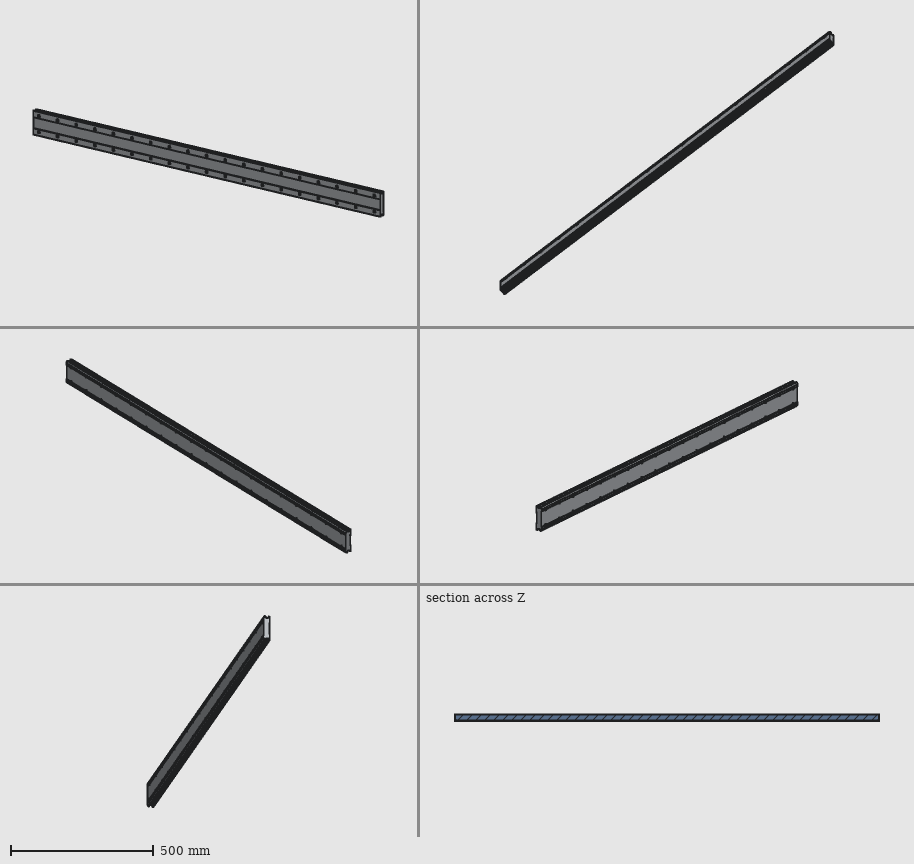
import cadquery as cq
import math

length = 1490.0
thickness = 24.0
height = 90.0
front_y = -thickness / 2
rear_y = thickness / 2
top_z = height / 2

relief_depth = 1.5
front_relief_floor_width = 39.0
rear_relief_floor_width = 58.0

lip_chamfer = 1.0
lip_crest_rear_y = -8.0
lip_flank_angle = 60.0

groove_floor_z = 39.5

crest_front_y = 5.5
crest_width = 2.5
raceway_radius = 3.5
front_raceway_start_angle = 23.0
rear_raceway_end_angle = 40.0
rear_flank_angle = 55.0

hole_diameter = 9.0
hole_pitch = 80.0
holes_per_row = 19
hole_row_spacing = 60.0


def raceway_point(center_y, side, angle):
    """Point on a raceway whose centre lies level with the crest.

    The angle is measured from straight down, and side is +1 or -1 for a raceway
    that rises towards +Y or -Y.
    """
    radians = math.radians(angle)
    return (
        center_y + side * raceway_radius * math.sin(radians),
        top_z - raceway_radius * math.cos(radians),
    )


def raceway_arc(center_y, side, low_angle):
    """Low end, midpoint and crest end of a raceway arc."""
    crest_angle = 90.0
    angles = (low_angle, (low_angle + crest_angle) / 2, crest_angle)
    return [raceway_point(center_y, side, angle) for angle in angles]


def make_half_rail():
    """Upper half of the rail, from its mid-plane Z = 0 up to the crests."""
    lip_flank_run = (top_z - groove_floor_z) / math.tan(math.radians(lip_flank_angle))
    front_relief_z = front_relief_floor_width / 2
    rear_relief_z = rear_relief_floor_width / 2

    front_low, front_mid, front_crest = raceway_arc(
        crest_front_y - raceway_radius, 1, front_raceway_start_angle
    )
    rear_low, rear_mid, rear_crest = raceway_arc(
        crest_front_y + crest_width + raceway_radius, -1, rear_raceway_end_angle
    )

    groove_rear_y = front_low[0] - (front_low[1] - groove_floor_z)
    rear_flank_drop = (rear_y - rear_low[0]) * math.tan(math.radians(rear_flank_angle))

    section = (
        cq.Workplane("YZ")
        .moveTo(front_y + relief_depth, 0)
        .lineTo(front_y + relief_depth, front_relief_z)
        .lineTo(front_y, front_relief_z + relief_depth)
        .lineTo(front_y, top_z - lip_chamfer)
        .lineTo(front_y + lip_chamfer, top_z)
        .lineTo(lip_crest_rear_y, top_z)
        .lineTo(lip_crest_rear_y + lip_flank_run, groove_floor_z)
        .lineTo(groove_rear_y, groove_floor_z)
        .lineTo(*front_low)
        .threePointArc(front_mid, front_crest)
        .lineTo(*rear_crest)
        .threePointArc(rear_mid, rear_low)
        .lineTo(rear_y, rear_low[1] - rear_flank_drop)
        .lineTo(rear_y, rear_relief_z + relief_depth)
        .lineTo(rear_y - relief_depth, rear_relief_z)
        .lineTo(rear_y - relief_depth, 0)
        .close()
    )
    return section.extrude(length / 2, both=True)


def make_rail():
    """Full rail, symmetric about Z = 0."""
    upper_half = make_half_rail()
    return upper_half.union(upper_half.mirror("XY")).clean()


def make_holes():
    """Through holes along Y in two evenly spaced rows."""
    return (
        cq.Workplane("XZ")
        .rarray(hole_pitch, hole_row_spacing, holes_per_row, 2)
        .circle(hole_diameter / 2)
        .extrude(thickness, both=True)
    )


result = make_rail().cut(make_holes())